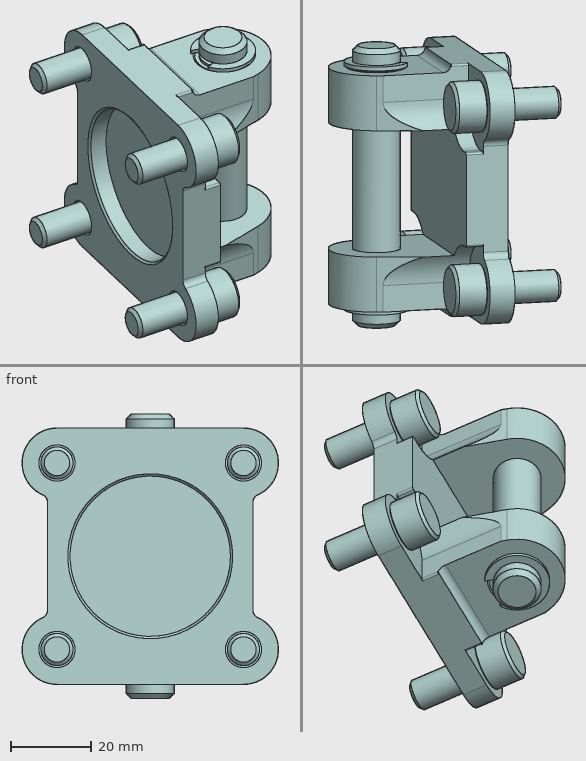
import cadquery as cq
import math


FLANGE_FRONT_Y = -27.0
FLANGE_SIZE = 64.0
FLANGE_THICKNESS = 6.45
FLANGE_WAIST_WIDTH = 51.25
WAIST_FILLET = 2.0
PAD_HEIGHT = 4.4
PAD_EDGE_FILLET = 0.5
FLANGE_BACK_Y = FLANGE_FRONT_Y + FLANGE_THICKNESS
PAD_BACK_Y = FLANGE_BACK_Y + PAD_HEIGHT

RECESS_DIAMETER = 40.0
RECESS_DEPTH = 5.0
RECESS_CHAMFER = 0.6

SCREW_SPACING = 46.5
SCREW_HOLE_DIAMETER = 9.0
SCREW_DIAMETER = 8.0
SCREW_TIP_Y = -40.5
SCREW_TIP_CHAMFER = 0.85
HEAD_DIAMETER = 13.0
HEAD_HEIGHT = 8.0
HEAD_CHAMFER = 0.8
HEAD_SEAT_CHAMFER = 0.2
SCREW_OFFSET = SCREW_SPACING / 2
LOBE_RADIUS = FLANGE_SIZE / 2 - SCREW_OFFSET

EAR_RADIUS = 12.0
EAR_TAPER_ANGLE = math.radians(15.3)
EAR_OUTER_SPAN = 60.0
EAR_GAP = 32.1
EAR_THICKNESS = (EAR_OUTER_SPAN - EAR_GAP) / 2
HEAD_CLEARANCE_RADIUS = SCREW_OFFSET - EAR_RADIUS
ROOT_LEDGE = 0.2
ROOT_RADIUS = (FLANGE_SIZE - EAR_OUTER_SPAN) / 2

SPOT_FACE_DIAMETER = 14.9
SPOT_FACE_FLOOR_DIAMETER = 14.1
SPOT_FACE_DEPTH = 0.15

PIN_LENGTH = 71.0
PIN_DIAMETER = 12.0
PIN_CHAMFER = 1.3
GROOVE_DIAMETER = 9.0
CLIP_DIAMETER = 16.25
CLIP_THICKNESS = 1.0
CLIP_GAP = 0.5
CLIP_MOUTH_WIDTH = 7.1
CLIP_MOUTH_FLARE = math.radians(14)
CLIP_END_Y = -6.8
CLIP_BOTTOM_Z = EAR_OUTER_SPAN / 2 + CLIP_GAP

SIDES = (-1, 1)
SCREW_CENTERS = [(x * SCREW_OFFSET, z * SCREW_OFFSET) for x in SIDES for z in SIDES]


def facing_back(y):
    """Workplane at height y whose extrusions run toward +Y; local (x, y) is (X, -Z)."""
    return cq.Workplane("XZ", origin=(0, y, 0)).transformed(rotate=(180, 0, 0))


def flange():
    """Plate with a round lobe around each screw; small fillets blend the lobes into the waist."""
    half_size = FLANGE_SIZE / 2
    half_waist = FLANGE_WAIST_WIDTH / 2
    waist_z = SCREW_OFFSET - math.sqrt(LOBE_RADIUS**2 - (half_waist - SCREW_OFFSET) ** 2)
    lobe_middle = SCREW_OFFSET + LOBE_RADIUS * math.sqrt(0.5)
    quarter = (
        facing_back(FLANGE_FRONT_Y)
        .lineTo(half_waist, 0)
        .lineTo(half_waist, waist_z)
        .threePointArc((lobe_middle, lobe_middle), (SCREW_OFFSET, half_size))
        .lineTo(0, half_size)
        .close()
        .extrude(FLANGE_THICKNESS)
    )
    waist_corner = cq.selectors.NearestToPointSelector(
        (half_waist, FLANGE_FRONT_Y + FLANGE_THICKNESS / 2, -waist_z)
    )
    quarter = quarter.edges("|Y").edges(waist_corner).fillet(WAIST_FILLET)
    half = quarter.union(quarter.mirror("XY"))
    return half.union(half.mirror("YZ"))


def head_clearances(length):
    """Corner cutouts behind the flange that leave room around the screw heads."""
    reach = FLANGE_SIZE
    edge = SCREW_OFFSET - HEAD_CLEARANCE_RADIUS
    cutouts = cq.Workplane("XY")
    for side_x in SIDES:
        for side_z in SIDES:
            block = (
                facing_back(FLANGE_BACK_Y)
                .center(side_x * (edge + reach / 2), side_z * (edge + reach / 2))
                .rect(reach, reach)
                .extrude(length)
            )
            inner_corner = cq.selectors.NearestToPointSelector(
                (side_x * edge, FLANGE_BACK_Y + length / 2, -side_z * edge)
            )
            cutouts = cutouts.add(block.edges("|Y").edges(inner_corner).fillet(HEAD_CLEARANCE_RADIUS))
    return cutouts.combine()


def pad():
    """Raised cross on the back of the flange, with rounded outer edges."""
    body = facing_back(FLANGE_BACK_Y).rect(FLANGE_WAIST_WIDTH, FLANGE_SIZE).extrude(PAD_HEIGHT)
    body = body.cut(head_clearances(PAD_HEIGHT))
    tips = body.edges("|Y and (>X or <X or >Z or <Z)")
    return tips.fillet(PAD_EDGE_FILLET)


def ear_outline():
    """Round tip with two straight flanks that leave it tangentially and spread toward the pad."""
    tangent_x = EAR_RADIUS * math.cos(EAR_TAPER_ANGLE)
    tangent_y = EAR_RADIUS * math.sin(EAR_TAPER_ANGLE)
    base_x = tangent_x + (tangent_y - PAD_BACK_Y) * math.tan(EAR_TAPER_ANGLE)
    return (
        cq.Workplane("XY")
        .moveTo(-base_x, PAD_BACK_Y)
        .lineTo(-tangent_x, tangent_y)
        .threePointArc((0, EAR_RADIUS), (tangent_x, tangent_y))
        .lineTo(base_x, PAD_BACK_Y)
        .close()
    )


def ear_root():
    """Concave blend from the outer face of the upper ear to a narrow ledge behind the pad."""
    face_z = EAR_OUTER_SPAN / 2
    arc_start_y = PAD_BACK_Y + ROOT_LEDGE
    arc_middle = ROOT_RADIUS * (1 - math.sqrt(0.5))
    return (
        cq.Workplane("YZ", origin=(-EAR_RADIUS, 0, 0))
        .moveTo(PAD_BACK_Y, face_z)
        .lineTo(arc_start_y + ROOT_RADIUS, face_z)
        .threePointArc(
            (arc_start_y + arc_middle, face_z + arc_middle),
            (arc_start_y, face_z + ROOT_RADIUS),
        )
        .lineTo(PAD_BACK_Y, face_z + ROOT_RADIUS)
        .close()
        .extrude(2 * EAR_RADIUS)
    )


def spot_face():
    return (
        cq.Workplane("XY", origin=(0, 0, EAR_OUTER_SPAN / 2 - SPOT_FACE_DEPTH))
        .circle(SPOT_FACE_FLOOR_DIAMETER / 2)
        .workplane(offset=SPOT_FACE_DEPTH)
        .circle(SPOT_FACE_DIAMETER / 2)
        .loft()
    )


def upper_ear():
    body = ear_outline().extrude(EAR_THICKNESS).translate((0, 0, EAR_GAP / 2))
    body = body.cut(head_clearances(EAR_RADIUS - FLANGE_BACK_Y))
    pin_hole = cq.Workplane("XY").circle(PIN_DIAMETER / 2).extrude(EAR_OUTER_SPAN)
    return body.union(ear_root()).cut(pin_hole).cut(spot_face())


def face_recess():
    bore = facing_back(FLANGE_FRONT_Y).circle(RECESS_DIAMETER / 2).extrude(RECESS_DEPTH)
    mouth = (
        facing_back(FLANGE_FRONT_Y)
        .circle(RECESS_DIAMETER / 2 + RECESS_CHAMFER)
        .workplane(offset=RECESS_CHAMFER)
        .circle(RECESS_DIAMETER / 2)
        .loft()
    )
    return bore.union(mouth)


def make_bracket():
    ear = upper_ear()
    screw_holes = (
        facing_back(FLANGE_FRONT_Y)
        .pushPoints(SCREW_CENTERS)
        .circle(SCREW_HOLE_DIAMETER / 2)
        .extrude(FLANGE_THICKNESS)
    )
    body = flange().union(pad()).union(ear).union(ear.mirror("XY"))
    return body.cut(face_recess()).cut(screw_holes)


def make_screw(x, z):
    shank = facing_back(SCREW_TIP_Y).circle(SCREW_DIAMETER / 2).extrude(FLANGE_BACK_Y - SCREW_TIP_Y)
    shank = shank.faces("<Y").chamfer(SCREW_TIP_CHAMFER)
    head = facing_back(FLANGE_BACK_Y).circle(HEAD_DIAMETER / 2).extrude(HEAD_HEIGHT)
    head = head.faces(">Y").chamfer(HEAD_CHAMFER)
    head = head.faces("<Y").chamfer(HEAD_SEAT_CHAMFER)
    return shank.union(head).translate((x, 0, z))


def make_pin():
    body = cq.Workplane("XY").circle(PIN_DIAMETER / 2).extrude(PIN_LENGTH / 2, both=True)
    body = body.faces("<Z or >Z").chamfer(PIN_CHAMFER)
    groove = (
        cq.Workplane("XY", origin=(0, 0, CLIP_BOTTOM_Z))
        .circle(PIN_DIAMETER / 2)
        .circle(GROOVE_DIAMETER / 2)
        .extrude(CLIP_THICKNESS)
    )
    return body.cut(groove).cut(groove.mirror("XY"))


def make_clip(bottom_z):
    """C-shaped clip whose mouth opens toward the flange, with flat-cut ends."""
    ring = (
        cq.Workplane("XY", origin=(0, 0, bottom_z))
        .circle(CLIP_DIAMETER / 2)
        .circle(GROOVE_DIAMETER / 2)
        .extrude(CLIP_THICKNESS)
    )
    inner_x = CLIP_MOUTH_WIDTH / 2
    inner_y = -math.sqrt((PIN_DIAMETER / 2) ** 2 - inner_x**2)
    flare = math.tan(CLIP_MOUTH_FLARE)
    outer_y = -CLIP_DIAMETER / 2
    center_x = inner_x + inner_y * flare
    outer_x = inner_x + (inner_y - outer_y) * flare
    mouth = (
        cq.Workplane("XY", origin=(0, 0, bottom_z))
        .polyline([(-center_x, 0), (-outer_x, outer_y), (outer_x, outer_y), (center_x, 0)])
        .close()
        .extrude(CLIP_THICKNESS)
    )
    beyond_ends = (
        cq.Workplane("XY", origin=(0, CLIP_END_Y - CLIP_DIAMETER / 2, bottom_z))
        .rect(CLIP_DIAMETER, CLIP_DIAMETER)
        .extrude(CLIP_THICKNESS)
    )
    return ring.cut(mouth).cut(beyond_ends)


bracket = make_bracket()
pin = make_pin()
screws = [make_screw(x, z) for x, z in SCREW_CENTERS]
clips = [make_clip(z) for z in (CLIP_BOTTOM_Z, -CLIP_BOTTOM_Z - CLIP_THICKNESS)]

result = cq.Compound.makeCompound(
    [bracket.val(), pin.val(), *[screw.val() for screw in screws], *[clip.val() for clip in clips]]
)